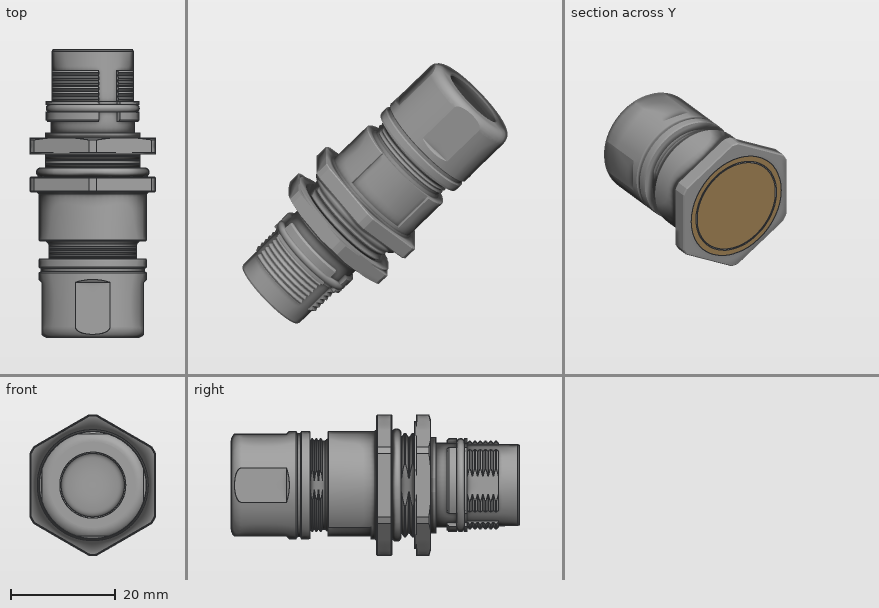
import cadquery as cq
import math

LENGTH = 54.95

NUT_GROOVE_START = 12.35
NUT_GROOVE_END = 13.45
NUT_END = 15.05
BODY_START = 18.45
BODY_END = 27.4
BODY_HEX_START = 27.75
BODY_HEX_END = 30.68
PANEL_THREAD_START = 32.4
LOCK_WASHER_START = 35.0
LOCK_HEX_START = 35.35
LOCK_HEX_END = 38.05
COLLAR_END = 39.05
FRONT_FLANGE_START = 41.2
FRONT_FLANGE_END = 43.0
REAR_FLANGE_START = 44.5
REAR_FLANGE_END = 45.0
MATING_THREAD_END = 51.0

NUT_RADIUS = 20.5 / 2
NUT_ROUND = 2.0
NUT_GROOVE_RADIUS = 19.7 / 2
NUT_GROOVE_BEVEL = 0.25
NUT_LEAD_LENGTH = 0.4
NUT_LEAD_DEPTH = 0.08
FLAT_DISTANCE = 9.71
FLAT_END = 10.55
FLAT_RUNOUT = 0.55
CABLE_BORE_RADIUS = 12.1 / 2
CABLE_BORE_DEPTH = 1.4
CABLE_BORE_CHAMFER = 0.25

BODY_RADIUS = 20.5 / 2
BODY_SHOULDER_RADIUS = 10.6
BODY_EDGE_CHAMFER = 0.15
LABEL_RADIUS = 9.75
LABEL_END = 26.7
LABEL_HALF_ANGLE = 38

HEX_ACROSS_FLATS = 23.9
HEX_ACROSS_CORNERS = 26.8
BODY_HEX_CHAMFER = 0.2
LOCK_WASHER_RADIUS = 12.1
LOCK_COUNTERSINK_RADIUS = 10.3
LOCK_HEX_FACE_RADIUS = 12.3
LOCK_HEX_CHAMFER = 0.35

CABLE_THREAD_CREST = 8.85
CABLE_THREAD_ROOT = 8.42
CABLE_THREAD_PITCH = 0.8
CABLE_THREAD_FLAT = 8.37
CABLE_THREAD_RELIEF = 0.55
PANEL_THREAD_CREST = 9.9
PANEL_THREAD_ROOT = 9.12
PANEL_THREAD_PITCH = 1.5
PANEL_THREAD_FLAT = 9.02
MATING_THREAD_CREST = 8.4
MATING_THREAD_ROOT = 16.0 / 2
MATING_THREAD_PITCH = 1.0
MATING_THREAD_FLAT = 7.8
MATING_NECK_RADIUS = 16.0 / 2
FLANGE_RADIUS = 8.87
FLANGE_CHAMFER = 0.35
MATING_SLEEVE_RADIUS = 15.5 / 2
MATING_SLEEVE_CHAMFER = 0.35
PANEL_SEAL_SECTION = 0.85
PANEL_SEAL_OUTER = 10.72
MATING_SEAL_SECTION = 0.74
MATING_SEAL_OUTER = FLANGE_RADIUS

SLOT_OVERLAP = 1
ROUNDING_MARGIN = 1e-6

THREAD_SLOTS = [(54, 82), (170, 200), (297.5, 322.5)]
FLANGE_SLOTS = [(54.5, 82.5), (180, 205), (297.5, 322.5)]


def revolved(points):
    """Solid of revolution about Y from (radius, y) points."""
    return cq.Workplane("XY").polyline(points).close().revolve(360, (0, 0, 0), (0, 1, 0))


def disc(radius, start, end):
    return revolved([(0, start), (radius, start), (radius, end), (0, end)])


def seal(section_radius, outer_radius, y):
    """O-ring round the Y axis."""
    centre = outer_radius - section_radius
    plane = cq.Plane(origin=(centre, y, 0), xDir=(-1, 0, 0), normal=(0, 0, 1))
    return cq.Workplane(plane).circle(section_radius).revolve(360, (centre, 0, 0), (centre, 1, 0))


def thread(root, crest, pitch, start, end):
    """Threaded length, modelled as a row of closed ridges."""
    land = pitch / 8
    flank = pitch / 2 - land
    points = [(0, start), (root, start)]
    for turn in range(int((end - start) / pitch + ROUNDING_MARGIN)):
        base = start + land / 2 + turn * pitch
        points += [
            (root, base),
            (crest, base + flank),
            (crest, base + flank + land),
            (root, base + 2 * flank + land),
        ]
    points += [(root, end), (0, end)]
    return revolved(points)


def side_flats(distance, start, end):
    """Slab that keeps everything within +-distance along X."""
    span = 2 * HEX_ACROSS_CORNERS
    return cq.Workplane("XY").box(2 * distance, end - start, span).translate((0, (start + end) / 2, 0))


def ring_sector(inner, outer, start, end, angles):
    """Ring segment between two angles counted from +X towards +Z."""
    first, last = angles
    corners = [(inner, start), (outer, start), (outer, end), (inner, end)]
    profile = cq.Workplane("XY").polyline(corners).close()
    sector = profile.revolve(last - first, (0, 0, 0), (0, -1, 0))
    return sector.rotate((0, 0, 0), (0, 1, 0), -first)


def hexagon(start, end):
    """Hexagon with its corners turned down to a cylinder."""
    circumscribed = HEX_ACROSS_FLATS / math.cos(math.pi / 6)
    prism = cq.Workplane("XZ", origin=(0, start, 0)).polygon(6, circumscribed).extrude(start - end)
    prism = prism.rotate((0, 0, 0), (0, 1, 0), 30)
    return prism.intersect(disc(HEX_ACROSS_CORNERS / 2, start, end))


def clamp_nut():
    bevel = NUT_GROOVE_BEVEL
    profile = (
        cq.Workplane("XY")
        .lineTo(NUT_RADIUS - NUT_ROUND, 0)
        .radiusArc((NUT_RADIUS, NUT_ROUND), -NUT_ROUND)
        .lineTo(NUT_RADIUS, NUT_GROOVE_START)
        .lineTo(NUT_GROOVE_RADIUS, NUT_GROOVE_START + bevel)
        .lineTo(NUT_GROOVE_RADIUS, NUT_GROOVE_END - bevel)
        .lineTo(NUT_RADIUS, NUT_GROOVE_END)
        .lineTo(NUT_RADIUS, NUT_END - NUT_LEAD_LENGTH)
        .lineTo(NUT_RADIUS - NUT_LEAD_DEPTH, NUT_END)
        .lineTo(0, NUT_END)
        .close()
    )
    nut = profile.revolve(360, (0, 0, 0), (0, 1, 0))

    reach = 2 * NUT_RADIUS
    rise = reach - FLAT_DISTANCE
    runout = FLAT_RUNOUT * rise / (NUT_RADIUS - FLAT_DISTANCE)
    flat = (
        cq.Workplane("XY")
        .polyline([
            (FLAT_DISTANCE, 0),
            (reach, 0),
            (reach, FLAT_END + runout),
            (FLAT_DISTANCE, FLAT_END),
        ])
        .close()
        .extrude(NUT_RADIUS, both=True)
    )
    for quarter in range(4):
        nut = nut.cut(flat.rotate((0, 0, 0), (0, 1, 0), 90 * quarter))

    bore = revolved([
        (0, 0),
        (CABLE_BORE_RADIUS + CABLE_BORE_CHAMFER, 0),
        (CABLE_BORE_RADIUS, CABLE_BORE_CHAMFER),
        (CABLE_BORE_RADIUS, CABLE_BORE_DEPTH),
        (0, CABLE_BORE_DEPTH),
    ])
    return nut.cut(bore)


def cable_thread():
    thread_end = BODY_START - CABLE_THREAD_RELIEF
    ridges = thread(CABLE_THREAD_ROOT, CABLE_THREAD_CREST, CABLE_THREAD_PITCH, NUT_END, thread_end)
    ridges = ridges.intersect(side_flats(CABLE_THREAD_FLAT, NUT_END, thread_end))
    relief = revolved([
        (0, thread_end),
        (CABLE_THREAD_ROOT, thread_end),
        (CABLE_THREAD_CREST, BODY_START),
        (0, BODY_START),
    ])
    return ridges.union(relief)


def body():
    barrel = revolved([
        (0, BODY_START),
        (BODY_RADIUS - BODY_EDGE_CHAMFER, BODY_START),
        (BODY_RADIUS, BODY_START + BODY_EDGE_CHAMFER),
        (BODY_RADIUS, BODY_END),
        (BODY_SHOULDER_RADIUS, BODY_HEX_START),
        (0, BODY_HEX_START),
    ])
    label_angles = (270 - LABEL_HALF_ANGLE, 270 + LABEL_HALF_ANGLE)
    label = ring_sector(LABEL_RADIUS, BODY_SHOULDER_RADIUS, BODY_START, LABEL_END, label_angles)
    flange = hexagon(BODY_HEX_START, BODY_HEX_END).faces("<Y or >Y").chamfer(BODY_HEX_CHAMFER)
    return barrel.cut(label).union(flange)


def panel_thread():
    ridges = thread(
        PANEL_THREAD_ROOT, PANEL_THREAD_CREST, PANEL_THREAD_PITCH, PANEL_THREAD_START, LOCK_HEX_END
    )
    undercut = disc(PANEL_THREAD_ROOT, BODY_HEX_END, PANEL_THREAD_START)
    collar = disc(PANEL_THREAD_ROOT, LOCK_HEX_END, COLLAR_END)
    flats = side_flats(PANEL_THREAD_FLAT, BODY_HEX_END, COLLAR_END)
    return undercut.union(ridges).union(collar).intersect(flats)


def lock_nut():
    corner_radius = HEX_ACROSS_CORNERS / 2
    chamfered = revolved([
        (0, LOCK_WASHER_START),
        (LOCK_WASHER_RADIUS, LOCK_WASHER_START),
        (LOCK_WASHER_RADIUS, LOCK_HEX_START),
        (corner_radius, LOCK_HEX_START),
        (corner_radius, LOCK_HEX_END - LOCK_HEX_CHAMFER),
        (LOCK_HEX_FACE_RADIUS, LOCK_HEX_END),
        (0, LOCK_HEX_END),
    ])
    nut = hexagon(LOCK_WASHER_START, LOCK_HEX_END).intersect(chamfered)
    countersink_depth = LOCK_COUNTERSINK_RADIUS - PANEL_THREAD_ROOT
    countersink = revolved([
        (0, LOCK_WASHER_START),
        (LOCK_COUNTERSINK_RADIUS, LOCK_WASHER_START),
        (PANEL_THREAD_ROOT, LOCK_WASHER_START + countersink_depth),
        (0, LOCK_WASHER_START + countersink_depth),
    ])
    return nut.cut(countersink)


def mating_end():
    sleeve = revolved([
        (0, COLLAR_END),
        (MATING_SLEEVE_RADIUS, COLLAR_END),
        (MATING_SLEEVE_RADIUS, LENGTH - MATING_SLEEVE_CHAMFER),
        (MATING_SLEEVE_RADIUS - MATING_SLEEVE_CHAMFER / 2, LENGTH),
        (0, LENGTH),
    ])
    neck = disc(MATING_NECK_RADIUS, COLLAR_END, REAR_FLANGE_END)
    flanges = disc(FLANGE_RADIUS, FRONT_FLANGE_START, FRONT_FLANGE_END).faces("<Y").chamfer(FLANGE_CHAMFER)
    flanges = flanges.union(disc(FLANGE_RADIUS, REAR_FLANGE_START, REAR_FLANGE_END))
    ridges = thread(
        MATING_THREAD_ROOT, MATING_THREAD_CREST, MATING_THREAD_PITCH, REAR_FLANGE_END, MATING_THREAD_END
    )
    ridges = ridges.intersect(side_flats(MATING_THREAD_FLAT, REAR_FLANGE_END, MATING_THREAD_END))
    slot_depth_radius = MATING_SLEEVE_RADIUS - SLOT_OVERLAP
    for angles in FLANGE_SLOTS:
        flanges = flanges.cut(
            ring_sector(slot_depth_radius, 2 * FLANGE_RADIUS, FRONT_FLANGE_START, REAR_FLANGE_END, angles)
        )
    for angles in THREAD_SLOTS:
        ridges = ridges.cut(
            ring_sector(slot_depth_radius, 2 * FLANGE_RADIUS, REAR_FLANGE_END, MATING_THREAD_END, angles)
        )
    return sleeve.union(neck).union(flanges).union(ridges)


panel_seal = seal(PANEL_SEAL_SECTION, PANEL_SEAL_OUTER, (BODY_HEX_END + PANEL_THREAD_START) / 2)
mating_seal = seal(MATING_SEAL_SECTION, MATING_SEAL_OUTER, (FRONT_FLANGE_END + REAR_FLANGE_START) / 2)

result = clamp_nut()
for component in (cable_thread(), body(), panel_thread(), panel_seal, lock_nut(), mating_end(), mating_seal):
    result = result.union(component)